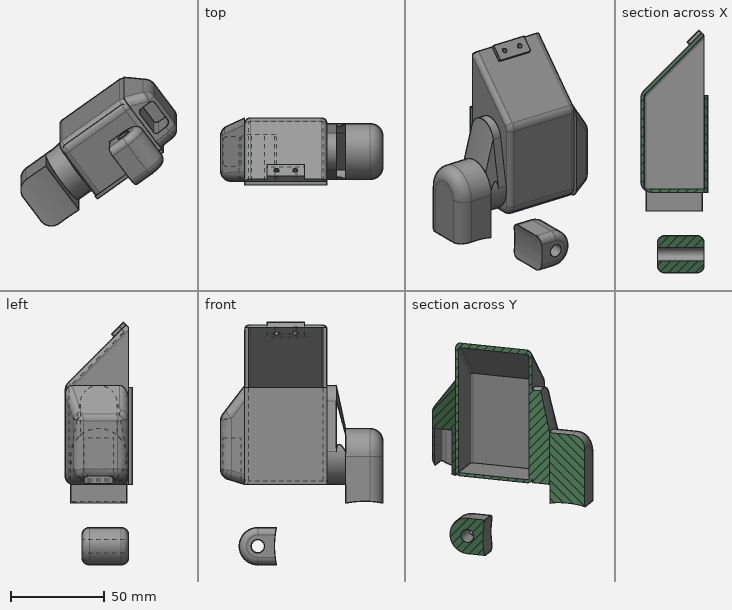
import cadquery as cq
import math

ROOT2 = math.sqrt(2)

HOUSING_WIDTH = 44
HOUSING_DEPTH = 34
WALL = 2
EDGE_RADIUS = 3
BACK_EDGE_RADIUS = 6
HALF_WIDTH = HOUSING_WIDTH / 2
CAVITY_TOP = 84
ROOF_SUM = CAVITY_TOP + WALL * ROOT2
RIM_Y = WALL / ROOT2
COVER_HEIGHT = CAVITY_TOP - (HOUSING_DEPTH - WALL)

TAB_WIDTH = 20
TAB_LENGTH = 9
TAB_THICKNESS = 2
TAB_CORNER_RADIUS = 0.5
TAB_HOLE_DIAMETER = 2.5
TAB_HOLE_SPACING = 10

AXIS_Y = 16
AXIS_Z = 15
ARM_RADIUS = 15
SHOULDER_LENGTH = 10
PLATE_THICKNESS = 5
PLATE_TOP_RADIUS = 10
PLATE_TOP_Z = 43

ARM_WIDTH = 20
ARM_DROP = 25
ARM_EDGE_RADIUS = 7
SADDLE_RADIUS = 50

HAND_RADIUS = 10
HAND_LENGTH = 20
HAND_DEPTH = 25
HAND_EDGE_RADIUS = 4
HAND_HOLE_DIAMETER = 7
HAND_X = -15
HAND_Z = -33

POD_LENGTH = 13
POD_BASE_DEPTH = HOUSING_DEPTH
POD_BASE_HEIGHT = 53
POD_END_DEPTH = 28
POD_END_BOTTOM = 4
POD_END_TOP = 36
POD_END_RADIUS = 6
POD_SIDE_RADIUS = 5
SLOT_NEAR = 2
SLOT_LENGTH = 9.5
SLOT_WIDTH = 16
SLOT_CORNER_RADIUS = 2
SLOT_TOP = 25

COVER_THICKNESS = 2


def extrude_across(points, width):
    """Extrude a (y, z) outline along X, centred on x = 0."""
    return cq.Workplane("YZ").polyline(points).close().extrude(width / 2, both=True)


def housing_shell():
    outside = extrude_across(
        [
            (0, 0),
            (HOUSING_DEPTH, 0),
            (HOUSING_DEPTH, ROOF_SUM - HOUSING_DEPTH),
            (RIM_Y, ROOF_SUM - RIM_Y),
            (0, CAVITY_TOP),
        ],
        HOUSING_WIDTH,
    )
    outside = outside.edges("|X and >Y").fillet(BACK_EDGE_RADIUS)
    side_edges = cq.selectors.BoxSelector(
        (-2 * HOUSING_WIDTH, RIM_Y + WALL, BACK_EDGE_RADIUS),
        (2 * HOUSING_WIDTH, 2 * HOUSING_DEPTH, CAVITY_TOP),
    )
    outside = outside.faces("<X or >X").edges(side_edges).fillet(EDGE_RADIUS)

    back_y = HOUSING_DEPTH - WALL
    cavity = extrude_across(
        [(0, WALL), (back_y, WALL), (back_y, CAVITY_TOP - back_y), (0, CAVITY_TOP)],
        HOUSING_WIDTH - 2 * WALL,
    )
    side_corners = cavity.faces(">Y").edges("|Z").add(cavity.faces(">Z").edges("not |X"))
    cavity = side_corners.fillet(EDGE_RADIUS - WALL)
    return outside.cut(cavity)


def roof_plane():
    """Plane on the roof at its upper rim; local y runs up the slope."""
    return cq.Plane(origin=(0, RIM_Y, ROOF_SUM - RIM_Y), xDir=(-1, 0, 0), normal=(0, 1, 1))


def hinge_tab():
    plane = roof_plane()
    tab = (
        cq.Workplane(plane)
        .center(0, -TAB_LENGTH / 2)
        .rect(TAB_WIDTH, TAB_LENGTH)
        .extrude(TAB_THICKNESS)
    )
    lower_corners = tab.faces(cq.selectors.DirectionMinMaxSelector(plane.yDir, False)).edges(
        cq.selectors.ParallelDirSelector(plane.zDir)
    )
    return lower_corners.fillet(TAB_CORNER_RADIUS)


def shoulder():
    """Tapered plate and round neck, with a fairing that blends the plate into the arm's round."""
    slope = (ARM_RADIUS - PLATE_TOP_RADIUS) / (PLATE_TOP_Z - AXIS_Z)
    run = math.sqrt(1 - slope**2)
    upper = (PLATE_TOP_RADIUS * run, PLATE_TOP_Z + PLATE_TOP_RADIUS * slope)
    lower = (ARM_RADIUS * run, AXIS_Z + ARM_RADIUS * slope)
    corner_rise = math.sqrt(ARM_RADIUS**2 - upper[0]**2)
    corner_top = AXIS_Z + corner_rise
    corner_bottom = AXIS_Z - corner_rise

    def start(x):
        return cq.Workplane("YZ", origin=(x, AXIS_Y, 0))

    def plate_outline(x):
        return (
            start(x)
            .moveTo(-lower[0], lower[1])
            .lineTo(-upper[0], upper[1])
            .threePointArc((0, PLATE_TOP_Z + PLATE_TOP_RADIUS), upper)
            .lineTo(*lower)
            .close()
        )

    plate = plate_outline(HALF_WIDTH).extrude(PLATE_THICKNESS)
    inner = plate_outline(HALF_WIDTH + PLATE_THICKNESS).val()
    outer = (
        start(HALF_WIDTH + SHOULDER_LENGTH)
        .moveTo(-upper[0], corner_bottom)
        .threePointArc((-ARM_RADIUS, AXIS_Z), (-upper[0], corner_top))
        .threePointArc((0, AXIS_Z + ARM_RADIUS), (upper[0], corner_top))
        .threePointArc((ARM_RADIUS, AXIS_Z), (upper[0], corner_bottom))
        .close()
        .val()
    )
    fairing = cq.Workplane(cq.Solid.makeLoft([inner, outer], True))
    neck = start(HALF_WIDTH).center(0, AXIS_Z).circle(ARM_RADIUS).extrude(SHOULDER_LENGTH)
    return neck.union(plate).union(fairing)


def make_housing():
    holes = (
        cq.Workplane(roof_plane())
        .center(0, -TAB_LENGTH / 2)
        .rarray(TAB_HOLE_SPACING, 1, 2, 1)
        .circle(TAB_HOLE_DIAMETER / 2)
        .extrude(2 * (WALL + TAB_THICKNESS), both=True)
    )
    return housing_shell().union(hinge_tab()).cut(holes).union(shoulder())


def make_cover():
    return cq.Workplane("XY").box(
        HOUSING_WIDTH, COVER_THICKNESS, COVER_HEIGHT, centered=(True, False, False)
    ).translate((0, -COVER_THICKNESS, 0))


def make_side_pod():
    """Tapered pod with rounded edges and a blind slot in its underside."""
    def outline(x, depth, bottom, top):
        return cq.Workplane("YZ", origin=(x, 0, 0)).polyline(
            [(0, bottom), (depth, bottom), (depth, top), (0, top)]
        ).close().val()

    base = outline(-HALF_WIDTH, POD_BASE_DEPTH, 0, POD_BASE_HEIGHT)
    end = outline(-HALF_WIDTH - POD_LENGTH, POD_END_DEPTH, POD_END_BOTTOM, POD_END_TOP)
    pod = cq.Workplane(cq.Solid.makeLoft([base, end], True))
    pod = pod.faces("<X").edges().fillet(POD_END_RADIUS)
    pod = pod.edges("not (>X or <X)").fillet(POD_SIDE_RADIUS)
    slot = (
        cq.Workplane("XY")
        .center(-HALF_WIDTH - SLOT_NEAR - SLOT_LENGTH / 2, AXIS_Y)
        .rect(SLOT_LENGTH, SLOT_WIDTH)
        .extrude(SLOT_TOP)
        .edges("|Z")
        .fillet(SLOT_CORNER_RADIUS)
    )
    return pod.cut(slot)


def saddle_offset(width):
    """Distance from an end's corners to the centre of its saddle arc."""
    return math.sqrt(SADDLE_RADIUS**2 - (width / 2)**2)


def make_arm():
    inner_x = HALF_WIDTH + SHOULDER_LENGTH
    bottom = AXIS_Z - ARM_DROP
    arm = (
        cq.Workplane("YZ", origin=(inner_x, AXIS_Y, 0))
        .moveTo(-ARM_RADIUS, bottom)
        .lineTo(-ARM_RADIUS, AXIS_Z)
        .threePointArc((0, AXIS_Z + ARM_RADIUS), (ARM_RADIUS, AXIS_Z))
        .lineTo(ARM_RADIUS, bottom)
        .close()
        .extrude(ARM_WIDTH)
    )
    arm = arm.faces(">X").edges("not <Z").fillet(ARM_EDGE_RADIUS)
    saddle = (
        cq.Workplane("XZ")
        .center(inner_x + ARM_WIDTH / 2, bottom - saddle_offset(ARM_WIDTH))
        .circle(SADDLE_RADIUS)
        .extrude(2 * HOUSING_DEPTH, both=True)
    )
    return arm.cut(saddle)


def make_hand():
    end_x = HAND_X + HAND_LENGTH - HAND_RADIUS
    hand = (
        cq.Workplane("XZ")
        .moveTo(end_x, HAND_Z + HAND_RADIUS)
        .lineTo(HAND_X, HAND_Z + HAND_RADIUS)
        .threePointArc((HAND_X - HAND_RADIUS, HAND_Z), (HAND_X, HAND_Z - HAND_RADIUS))
        .lineTo(end_x, HAND_Z - HAND_RADIUS)
        .close()
        .extrude(-HAND_DEPTH)
    )
    hand = hand.faces("<Y or >Y").edges("not >X").fillet(HAND_EDGE_RADIUS)
    hole = (
        cq.Workplane("XZ")
        .center(HAND_X, HAND_Z)
        .circle(HAND_HOLE_DIAMETER / 2)
        .extrude(-HAND_DEPTH)
    )
    saddle = (
        cq.Workplane("XZ")
        .center(end_x + saddle_offset(2 * HAND_RADIUS), HAND_Z)
        .circle(SADDLE_RADIUS)
        .extrude(-HAND_DEPTH)
    )
    return hand.cut(hole).cut(saddle)


housing = make_housing()
cover = make_cover()
side_pod = make_side_pod()
arm = make_arm()
hand = make_hand()

result = cq.Compound.makeCompound(
    [housing.val(), cover.val(), side_pod.val(), arm.val(), hand.val()]
)